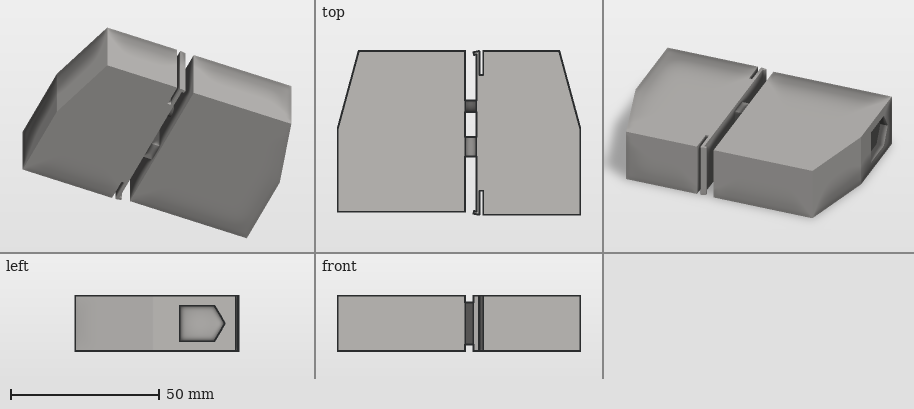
import cadquery as cq

length = 82.0
width = 55.35
height = 18.8
half_height = height / 2

wide_body_right = 43.05
wide_body_front = 1.1
taper_run = 7.1
taper_start = 29.0
taper_corner_radius = 0.8

latch_body_left = 46.9
arm_thickness = 1.1
slot_width = 1.15
slot_depth = 8.1
hook_tip_x = 45.8
hook_tip_y = 0.4
hook_heel_x = 46.1
hook_heel_y = 1.4
hook_root_y = 1.15
arm_corner_bevel = 0.25

pocket_depth = 2.7
pocket_rear = 19.9
pocket_shoulder = 8.3
pocket_tip = 4.75
pocket_half_height = 6.0

block_front = 19.7
block_width = 6.65
block_height = 14.3
pin_center_y = 36.65
pin_diameter = 3.9

gap = latch_body_left - wide_body_right


def round_taper_corner(housing, x):
    corner = cq.selectors.NearestToPointSelector((x, taper_start, half_height / 2))
    return housing.edges(corner).fillet(taper_corner_radius)


def extrude_half(outline):
    """Upper half of a housing, rising from the parting plane."""
    return cq.Workplane("XY").polyline(outline).close().extrude(half_height)


def make_wide_body():
    housing = extrude_half([
        (0, wide_body_front),
        (wide_body_right, wide_body_front),
        (wide_body_right, width),
        (taper_run, width),
        (0, taper_start),
    ])
    return round_taper_corner(housing, 0)


def make_latch_body():
    arm_right = latch_body_left + arm_thickness
    slot_right = arm_right + slot_width
    front_arm = [
        (latch_body_left, hook_root_y),
        (hook_heel_x, hook_heel_y),
        (hook_tip_x, hook_tip_y),
        (arm_right - arm_corner_bevel, 0),
        (arm_right, arm_corner_bevel),
        (arm_right, slot_depth),
        (slot_right, slot_depth),
        (slot_right, 0),
    ]
    right_side = [
        (length, 0),
        (length, taper_start),
        (length - taper_run, width),
    ]
    rear_arm = [(x, width - y) for x, y in reversed(front_arm)]
    housing = extrude_half(front_arm + right_side + rear_arm)
    return round_taper_corner(housing, length)


def make_pocket():
    """Pentagonal recess, pointed toward the front."""
    return (
        cq.Workplane("YZ")
        .polyline([
            (pocket_rear, -pocket_half_height),
            (pocket_shoulder, -pocket_half_height),
            (pocket_tip, 0),
            (pocket_shoulder, pocket_half_height),
            (pocket_rear, pocket_half_height),
        ])
        .close()
        .extrude(pocket_depth)
    )


def make_block():
    return (
        cq.Workplane("XY")
        .box(gap, block_width, block_height / 2, centered=False)
        .translate((wide_body_right, block_front, 0))
    )


def make_pin():
    return (
        cq.Workplane("YZ", origin=(wide_body_right, pin_center_y, 0))
        .circle(pin_diameter / 2)
        .extrude(gap)
    )


upper_half = (
    make_wide_body()
    .cut(make_pocket())
    .union(make_latch_body())
    .union(make_block())
)

lower_half = upper_half.mirror("XY")
result = upper_half.union(lower_half, clean=False).union(make_pin(), clean=False)